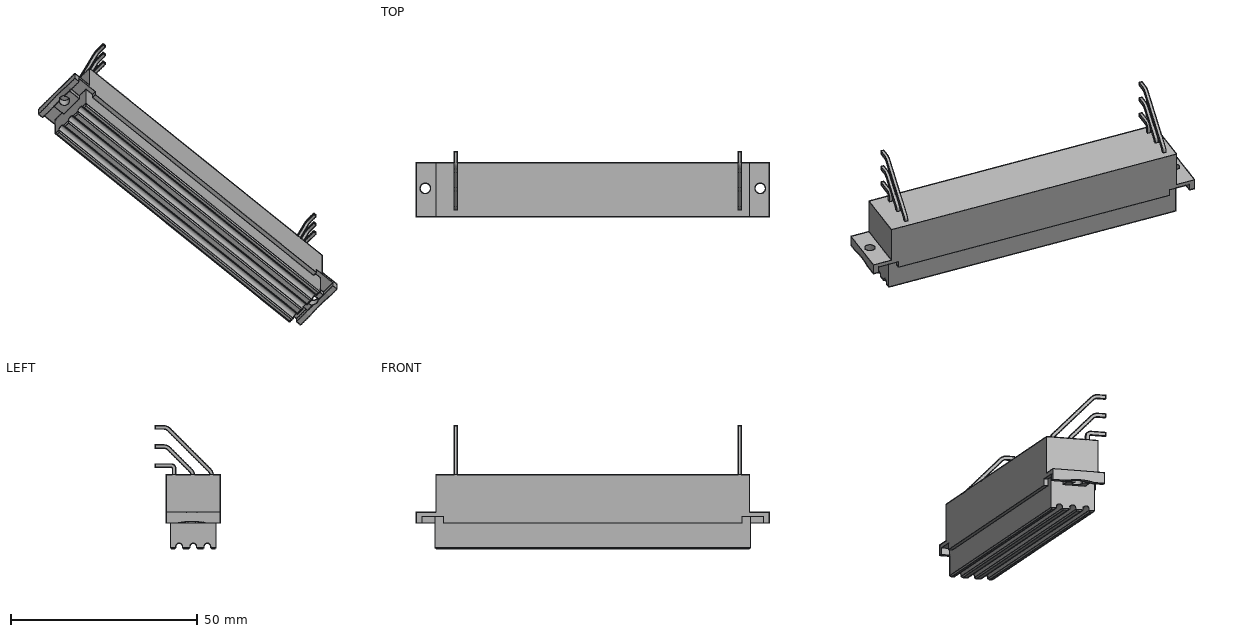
import cadquery as cq
import math

length = 94.8
total_height = 33.1
housing_bottom = 6.9
flange_top = 9.9
housing_top = 19.9

housing_width = 14.6
flange_reach = 5.3
housing_length = length - 2 * flange_reach
flange_thickness = 1.1
recess_top = flange_top - flange_thickness
lip_thickness = 1.5
recess_inner_inset = 7.4
recess_length = recess_inner_inset - lip_thickness

hole_y = 0.4
hole_diameter = 2.75
hole_end_distance = 2.5
hole_x = length / 2 - hole_end_distance
boss_width = 6.3
lip_notch_width = 8.0
lip_notch_depth = 0.5

insert_end_inset = 5.0
insert_length = length - 2 * insert_end_inset
insert_width = 12.3
insert_chamfer = 0.4
groove_count = 3
groove_pitch = 3.8
groove_width = 1.7
groove_depth = 1.5

pins_per_row = 3
pin_rows_x = (-36.8, 39.4)
pin_width = 0.9
pin_thickness = 0.95
pin_tip_y = 10.2
pin_row_y = 0.1
pin_pitch_y = 5.0
pin_pitch_z = 5.1
pin_top_z = total_height - pin_thickness / 2
pin_corner_y = 7.1
slant_bend_radius = 1.9
elbow_bend_radius = 0.9
pin_embedding = 1.9


def box_between(size_x, size_y, bottom, top):
    """Box centred on the Z axis between two heights."""
    block = cq.Workplane("XY").workplane(offset=bottom)
    return block.rect(size_x, size_y).extrude(top - bottom)


def make_housing():
    body = box_between(housing_length, housing_width, housing_bottom, housing_top)
    flange = box_between(length, housing_width, housing_bottom, flange_top)
    housing = body.union(flange)
    recess_x = length / 2 - lip_thickness - recess_length / 2
    recess = box_between(recess_length, housing_width, housing_bottom, recess_top)
    boss = box_between(recess_length, boss_width, housing_bottom, recess_top)
    recess = recess.cut(boss.translate((0, hole_y, 0)))
    for side in (-1, 1):
        housing = housing.cut(recess.translate((side * recess_x, 0, 0)))
    return housing


def make_lip_notch():
    """Shallow arched relief across the underside of both end lips."""
    left = hole_y - lip_notch_width / 2
    right = hole_y + lip_notch_width / 2
    crown = (hole_y, housing_bottom + lip_notch_depth)
    arch = cq.Workplane("YZ").moveTo(left, housing_bottom)
    arch = arch.threePointArc(crown, (right, housing_bottom)).close()
    relief = arch.extrude(length / 2, both=True)
    return relief.cut(box_between(length - 2 * lip_thickness, housing_width, 0, housing_top))


def make_insert():
    insert = box_between(insert_length, insert_width, 0, recess_top)
    radius = groove_width / 2
    for index in range(groove_count):
        y = (index - (groove_count - 1) / 2) * groove_pitch
        groove = cq.Workplane("YZ").moveTo(y - radius, 0).lineTo(y - radius, groove_depth - radius)
        groove = groove.threePointArc((y, groove_depth), (y + radius, groove_depth - radius))
        groove = groove.lineTo(y + radius, 0).close()
        insert = insert.cut(groove.extrude(insert_length / 2, both=True))
    return insert.faces("<Z").edges().chamfer(insert_chamfer)


def make_pin(points, bend_radius):
    """Bar of rectangular section along a Y-Z path whose corners are rounded."""
    path = cq.Workplane("YZ").moveTo(*points[0])
    for before, corner, after in zip(points, points[1:], points[2:]):
        angle_in = math.atan2(corner[1] - before[1], corner[0] - before[0])
        angle_out = math.atan2(after[1] - corner[1], after[0] - corner[0])
        setback = bend_radius * math.tan(abs(angle_out - angle_in) / 2)
        start = (corner[0] - setback * math.cos(angle_in), corner[1] - setback * math.sin(angle_in))
        end = (corner[0] + setback * math.cos(angle_out), corner[1] + setback * math.sin(angle_out))
        path = path.lineTo(*start).tangentArcPoint(end, relative=False)
    path = path.lineTo(*points[-1])
    foot_y, foot_z = points[0]
    section = cq.Workplane("XY", origin=(0, foot_y, foot_z)).rect(pin_width, pin_thickness)
    return section.sweep(path)


def make_pin_row():
    """Row of pins at X = 0: slanted pins from the front, then a right-angle pin at the back."""
    root_z = housing_top - pin_embedding
    row = cq.Workplane("XY")
    for index in range(pins_per_row):
        foot_y = pin_row_y + (index - (pins_per_row - 1) / 2) * pin_pitch_y
        level_z = pin_top_z - index * pin_pitch_z
        tip = (pin_tip_y, level_z)
        if index < pins_per_row - 1:
            slant_start_z = level_z - (pin_corner_y - foot_y)
            corners = [(foot_y, slant_start_z), (pin_corner_y, level_z)]
            bend_radius = slant_bend_radius
        else:
            corners = [(foot_y, level_z)]
            bend_radius = elbow_bend_radius
        row = row.add(make_pin([(foot_y, root_z), *corners, tip], bend_radius))
    return row.combine()


result = make_housing().union(make_insert()).cut(make_lip_notch())

holes = cq.Workplane("XY").pushPoints([(-hole_x, hole_y), (hole_x, hole_y)])
holes = holes.circle(hole_diameter / 2).extrude(flange_top)
result = result.cut(holes)

pin_row = make_pin_row()
for row_x in pin_rows_x:
    result = result.union(pin_row.translate((row_x, 0, 0)))